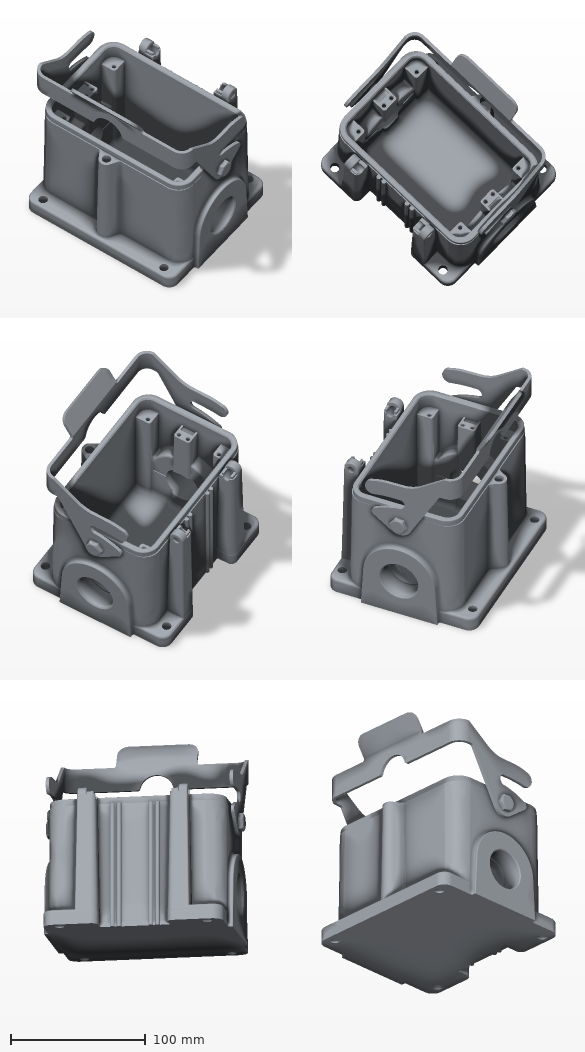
import cadquery as cq
import math

overlap = 1.0

flange_x = 135.2
flange_y = 120.0
flange_height = 11.6
flange_corner_r = 8.0
flange_edge_r = 2.0
rear_gap_x = 52.6
rear_corner_r = 5.0
screw_hole_d = 7.0
screw_pitch_x = 111.2
screw_pitch_y = 106.2

hull_top_x = 133.0
hull_top_y = 90.4
hull_top_z = 94.0
hull_corner_r = 13.6
hull_base_x = 134.5
hull_base_y = 92.0
hull_base_corner_r = 13.0
hull_blend_r = 1.2
rim_x = 132.7
rim_y = 88.9
rim_top_z = 99.1
rim_edge_r = 0.8

opening_x = 122.4
opening_y = 80.0
opening_corner_r = 8.4
draft_start_z = 93.5
lip_chamfer = 1.0
post_top_z = 86.8
floor_z = 6.0
well_x = 98.1
well_draft = 1.2
floor_r = 4.0
recess_depth = 2.0
middle_post_y = 13.6
corner_post_y = 27.4
post_corner_r = 1.9
insert_hole_d = 3.0
insert_chamfer = 0.5
insert_hole_depth = 12.0
insert_hole_x = 52.2
insert_hole_ys = (31.1, 3.95)
bolt_pocket_x = 5.0
bolt_pocket_y = 10.8
bolt_pocket_depth = 2.0

entry_x = 71.1
entry_z = 31.8
entry_r = 29.3
entry_arc_z = 32.6
entry_foot_half_y = 31.2
entry_blend_r = 2.0
entry_edge_r = 0.6
entry_bore_d = 30.5
entry_bore_depth = 15.5
entry_through_d = 28.0
entry_chamfer = 0.8
inner_boss_r = 27.8
inner_boss_blend_r = 1.5
inner_boss_edge_r = 1.5

nose_r = 6.0
nose_y = -49.3
nose_foot_y = -44.8
nose_foot_r = 4.0
nose_side_angle = math.radians(60)
nose_draft = 1.0
nose_hole_depth = 20.0

column_inner_x = rear_gap_x / 2
column_outer_x = 43.2
column_draft = 1.0
column_edge_r = 1.1
column_front_y = 44.9
column_rear_y = flange_y / 2
hinge_y = (column_rear_y + column_front_y) / 2
hinge_z = 98.9
hinge_top_z = 105.15
hinge_hole_d = 5.8
hinge_eye_inner_x = 34.6
cradle_inner_x = 29.1
cradle_top_z = 101.2
cradle_half_y = 4.9
cradle_corner_r = 1.5

rib_r = 1.7
rib_y = 46.2
rib_xs = (12.0, 17.0)

lever_half_x = 70.5
lever_thickness = 2.5
lever_front_y = -47.35
lever_corner_r = 10.4
lever_bottom_z = 124.9
lever_top_z = 143.0
pivot_z = 86.7
pivot_end_r = 10.0
notch_r = 13.0
notch_z = 123.2
notch_edge_r = 2.0
tab_half_x = 30.4
tab_root_r = 1.9
tab_bend_z = 144.9
tab_angle = math.radians(32)
tab_corner_r = 8.0
overall_z = 161.07

bolt_head_x = 74.35
bolt_head_flats = 12.0
bolt_head_turn = 6.6
bolt_head_chamfer = 0.8
shank_d = 8.1


def rounded_block(size_x, size_y, corner_r, z_low, z_high):
    block = cq.Workplane("XY").box(size_x, size_y, z_high - z_low, centered=(True, True, False))
    return block.edges("|Z").fillet(corner_r).translate((0, 0, z_low))


def mirrored_x(body):
    return body.union(body.mirror("YZ"))


def mirrored_xy(body):
    both = body.union(body.mirror("YZ"))
    return both.union(both.mirror("XZ"))


def rounded_sketch(size_x, size_y, corner_r):
    return cq.Sketch().rect(size_x, size_y).vertices().fillet(corner_r)


def x_cylinder(diameter, x_low, x_high, y, z):
    return cq.Workplane("YZ", origin=(x_low, y, z)).circle(diameter / 2).extrude(x_high - x_low)


def make_hull():
    base = rounded_sketch(hull_base_x, hull_base_y, hull_base_corner_r)
    top = rounded_sketch(hull_top_x, hull_top_y, hull_corner_r)
    top = top.moved(cq.Location(cq.Vector(0, 0, hull_top_z)))
    body = cq.Workplane("XY").placeSketch(base, top).loft(ruled=True)
    rim = rounded_block(rim_x, rim_y, hull_corner_r, hull_top_z, rim_top_z)
    return body.union(rim.faces(">Z").edges().fillet(rim_edge_r))


def make_entry_boss():
    """Arched pad on the +X wall, with sides that widen towards the base."""
    start_x = hull_top_x / 2 - 2 * overlap
    pad = (
        cq.Workplane("YZ", origin=(start_x, 0, 0))
        .moveTo(-entry_foot_half_y, 0)
        .lineTo(-entry_r, entry_arc_z)
        .threePointArc((0, entry_arc_z + entry_r), (entry_r, entry_arc_z))
        .lineTo(entry_foot_half_y, 0)
        .close()
        .extrude(entry_x - start_x)
    )
    return pad.faces(">X").edges("not(<Z)").fillet(entry_edge_r)


def blend_entry_bosses(body):
    reach_y = entry_foot_half_y + overlap
    top_z = entry_arc_z + entry_r + overlap
    inner_x = hull_top_x / 2 - overlap
    outer_x = hull_base_x / 2 + overlap
    for side in (-1, 1):
        joint = cq.selectors.BoxSelector(
            (side * inner_x, -reach_y, overlap), (side * outer_x, reach_y, top_z)
        )
        body = body.edges(joint).fillet(entry_blend_r)
    return body


def make_flange():
    plate = rounded_block(flange_x, flange_y, flange_corner_r, 0, flange_height)
    gap = cq.Workplane("XY").box(rear_gap_x, flange_y - hull_top_y, 3 * flange_height)
    plate = plate.cut(gap.translate((0, flange_y / 2, 0)))
    gap_corners = cq.selectors.BoxSelector((-column_outer_x, 0, 0), (column_outer_x, flange_y, flange_height))
    plate = plate.edges("|Z and >Y").edges(gap_corners).fillet(rear_corner_r)
    return plate.faces(">Z").edges().fillet(flange_edge_r)


def blend_hull_to_flange(body):
    """Fillet the joints of the shell and the front guide column with the top of the flange."""
    reach_x = flange_x / 2 - flange_edge_r - overlap
    reach_y = flange_y / 2 - flange_edge_r - overlap / 2
    near_y = hull_top_y / 2 - overlap / 2
    far_y = hull_base_y / 2 + overlap
    low = flange_height - overlap / 2
    high = flange_height + overlap / 2
    corner_y = hull_corner_r / 2 - hull_top_y / 2
    front = cq.selectors.BoxSelector((-reach_x, -reach_y, low), (reach_x, corner_y, high))
    rear = cq.selectors.BoxSelector((-reach_x, near_y, low), (reach_x, far_y, high))
    return body.edges(front).fillet(hull_blend_r).edges(rear).fillet(hull_blend_r)


def make_nose_column():
    """Rounded guide column in the middle of the front wall."""
    sin_side = math.sin(nose_side_angle)
    cos_side = math.cos(nose_side_angle)
    tip_x = nose_r * sin_side
    tip_y = nose_y - nose_r * cos_side
    foot_y = nose_foot_y - nose_foot_r * (1 - cos_side)
    foot_x = tip_x + (foot_y - tip_y) * cos_side / sin_side
    root_x = foot_x + nose_foot_r * sin_side
    root_y = nose_foot_y + 1.5 * overlap
    half_angle = nose_side_angle / 2
    mid_x = root_x - nose_foot_r * math.sin(half_angle)
    mid_y = nose_foot_y - nose_foot_r * (1 - math.cos(half_angle))
    column = (
        cq.Workplane("XY", origin=(0, 0, hull_top_z))
        .moveTo(-root_x, root_y)
        .lineTo(-root_x, nose_foot_y)
        .threePointArc((-mid_x, mid_y), (-foot_x, foot_y))
        .lineTo(-tip_x, tip_y)
        .threePointArc((0, nose_y - nose_r), (tip_x, tip_y))
        .lineTo(foot_x, foot_y)
        .threePointArc((mid_x, mid_y), (root_x, nose_foot_y))
        .lineTo(root_x, root_y)
        .close()
        .extrude(-(hull_top_z - flange_height / 2), taper=-nose_draft)
    )
    hole = (
        cq.Workplane("XY", origin=(0, nose_y, hull_top_z))
        .circle(screw_hole_d / 2)
        .extrude(-nose_hole_depth)
    )
    return column.cut(hole)


def make_hinge_column():
    """Rear column on the +X side carrying a hinge eye and an open cradle."""
    size_x = column_outer_x - column_inner_x
    size_y = column_rear_y - column_front_y
    centre_x = (column_outer_x + column_inner_x) / 2
    column = (
        cq.Workplane("XY", origin=(centre_x, hinge_y, 0))
        .sketch()
        .rect(size_x, size_y)
        .vertices("<X and >Y")
        .fillet(rear_corner_r)
        .finalize()
        .extrude(hinge_z, taper=column_draft)
    )
    inset = hinge_z * math.tan(math.radians(column_draft))
    eye_half_y = size_y / 2 - inset
    eye_outer_x = column_outer_x - inset
    eye = (
        cq.Workplane("YZ", origin=(hinge_eye_inner_x, hinge_y, 0))
        .moveTo(-eye_half_y, hinge_z)
        .threePointArc((0, hinge_top_z), (eye_half_y, hinge_z))
        .close()
        .extrude(eye_outer_x - hinge_eye_inner_x)
    )
    eye = eye.faces("<X").edges("%CIRCLE").fillet(column_edge_r)
    column = column.union(eye)
    margin = overlap / 10
    outer_edges = cq.selectors.BoxSelector(
        (eye_outer_x - margin, column_front_y, overlap),
        (column_outer_x + margin, column_rear_y, hinge_top_z),
    )
    column = column.edges(outer_edges).edges("not(<Z or |Y)").fillet(column_edge_r)
    cradle_x = hinge_eye_inner_x - cradle_inner_x
    rise = cradle_top_z - hinge_z
    cradle = cq.Workplane("XY").box(cradle_x, 2 * cradle_half_y, rise, centered=(False, True, False))
    cradle = cradle.edges("|Z and <X").fillet(cradle_corner_r).translate((cradle_inner_x, hinge_y, hinge_z))
    trough = cq.Workplane("XY").box(cradle_x, hinge_hole_d, rise, centered=(False, True, False))
    trough = trough.translate((cradle_inner_x, hinge_y, hinge_z))
    bore = x_cylinder(hinge_hole_d, column_inner_x, column_outer_x, hinge_y, hinge_z)
    web_y = hull_top_y / 2 - 2 * overlap
    web = cq.Workplane("XY").box(cradle_x, hinge_y - web_y, hull_top_z, centered=False)
    web = web.translate((cradle_inner_x, web_y, 0))
    return column.union(cradle.cut(trough)).cut(bore).union(web)


def make_rear_ribs():
    places = [(side * x, rib_y) for side in (-1, 1) for x in rib_xs]
    return cq.Workplane("XY").pushPoints(places).circle(rib_r).extrude(hull_top_z)


def make_well():
    """Space between the posts, wider where the cable bosses sit back."""
    post_x = well_x / 2
    recess_x = post_x + recess_depth
    low_y = middle_post_y / 2
    high_y = corner_post_y
    arc_r = post_corner_r
    outline = cq.Workplane("XY", origin=(0, 0, draft_start_z)).moveTo(-post_x, -opening_y / 2)
    for side in (1, -1):
        outline = (
            outline
            .lineTo(side * post_x, -side * opening_y / 2)
            .lineTo(side * post_x, -side * (high_y + arc_r))
            .radiusArc((side * (post_x + arc_r), -side * high_y), arc_r)
            .lineTo(side * recess_x, -side * high_y)
            .lineTo(side * recess_x, -side * low_y)
            .lineTo(side * (post_x + arc_r), -side * low_y)
            .radiusArc((side * post_x, -side * (low_y - arc_r)), arc_r)
            .lineTo(side * post_x, side * (low_y - arc_r))
            .radiusArc((side * (post_x + arc_r), side * low_y), arc_r)
            .lineTo(side * recess_x, side * low_y)
            .lineTo(side * recess_x, side * high_y)
            .lineTo(side * (post_x + arc_r), side * high_y)
            .radiusArc((side * post_x, side * (high_y + arc_r)), arc_r)
            .lineTo(side * post_x, side * opening_y / 2)
        )
    well = outline.close().extrude(-(draft_start_z - floor_z), taper=well_draft)
    return well.faces("<Z").edges().fillet(floor_r)


def make_boss_pocket():
    """Pocket between a corner post and the middle post, floored by the arched cable boss."""
    low_x = well_x / 2 - 3 * overlap
    high_x = opening_x / 2
    size_y = corner_post_y - middle_post_y / 2
    centre_x = (low_x + high_x) / 2
    centre_y = corner_post_y - size_y / 2
    pocket = (
        cq.Workplane("XY", origin=(centre_x, centre_y, draft_start_z))
        .rect(high_x - low_x, size_y)
        .extrude(-(draft_start_z - entry_z), taper=well_draft)
    )
    crown_z = entry_z + inner_boss_r
    face_x = well_x / 2 + recess_depth - (draft_start_z - crown_z) * math.tan(math.radians(well_draft))
    boss = x_cylinder(2 * inner_boss_r, face_x, high_x + overlap, 0, entry_z)
    boss = boss.faces("<X").edges().fillet(inner_boss_edge_r)
    pocket = pocket.cut(boss)
    return pocket.faces("%CYLINDER").edges("|X or >X").fillet(inner_boss_blend_r)


def make_cavity():
    cavity = rounded_block(opening_x, opening_y, opening_corner_r, draft_start_z, rim_top_z)
    lip_x = opening_x + 2 * lip_chamfer
    lip_y = opening_y + 2 * lip_chamfer
    lip = (
        cq.Workplane("XY", origin=(0, 0, rim_top_z))
        .placeSketch(rounded_sketch(lip_x, lip_y, opening_corner_r + lip_chamfer))
        .extrude(-lip_chamfer, taper=45)
    )
    cavity = cavity.union(lip)
    upper = (
        cq.Workplane("XY", origin=(0, 0, draft_start_z))
        .placeSketch(rounded_sketch(opening_x, opening_y, opening_corner_r))
        .extrude(-(draft_start_z - post_top_z), taper=well_draft)
    )
    cavity = cavity.union(upper)
    cavity = cavity.union(make_well()).union(mirrored_xy(make_boss_pocket()))
    places = [(sx * insert_hole_x, sy * y) for sx in (-1, 1) for sy in (-1, 1) for y in insert_hole_ys]
    holes = (
        cq.Workplane("XY", origin=(0, 0, post_top_z))
        .pushPoints(places).circle(insert_hole_d / 2).extrude(-insert_hole_depth)
    )
    mouths = (
        cq.Workplane("XY", origin=(0, 0, post_top_z))
        .pushPoints(places).circle(insert_hole_d / 2 + insert_chamfer).extrude(-insert_chamfer, taper=45)
    )
    bolt_pocket = cq.Workplane("XY").box(
        bolt_pocket_x, bolt_pocket_y, bolt_pocket_depth, centered=(True, True, False)
    )
    bolt_pocket = bolt_pocket.translate(
        ((opening_x - bolt_pocket_x) / 2, 0, post_top_z - bolt_pocket_depth)
    )
    return cavity.union(holes).union(mouths).union(mirrored_x(bolt_pocket))


def make_entry_hole():
    bore = x_cylinder(entry_bore_d, entry_x - entry_bore_depth, entry_x, 0, entry_z)
    through = x_cylinder(entry_through_d, well_x / 2 - 5 * overlap, entry_x, 0, entry_z)
    mouth_r = entry_bore_d / 2 + entry_chamfer
    mouth = (
        cq.Workplane("YZ", origin=(entry_x, 0, entry_z))
        .circle(mouth_r)
        .extrude(-entry_chamfer, taper=45)
    )
    return bore.union(through).union(mouth)


def around_pivot(angle):
    """Point on the round end of a lever arm, as (y, z)."""
    return (pivot_end_r * math.cos(angle), pivot_z + pivot_end_r * math.sin(angle))


def make_lever_arm():
    """Flat hook-shaped arm on the +X side, drawn in the YZ plane."""
    corner_y = lever_front_y + lever_corner_r
    slope_end, slope_blend, shoulder = (-17.5, 129.2), (-11.4, 125.8), (-4.3, 124.1)
    finger_start, finger_bow, finger_top = (11.6, 123.7), (17.0, 123.0), (22.1, 121.7)
    finger_tip, finger_bottom = (27.9, 114.7), (22.1, 109.1)
    slot_roof, slot_top, slot_end, slot_bottom = (12.7, 110.4), (-1.7, 110.7), (-4.4, 106.7), (-1.7, 102.4)
    jaw_bow, jaw_top, jaw_tip, jaw_bottom = (10.0, 99.9), (21.0, 95.2), (22.4, 92.2), (20.8, 89.4)
    rear_normal, front_normal = math.radians(-52.3), math.radians(-151)
    end_rear = around_pivot(rear_normal)
    end_bottom = around_pivot((rear_normal + front_normal) / 2)
    end_front = around_pivot(front_normal)
    throat_start, throat, throat_end = (-32.0, 123.5), (-32.7, 124.5), (-33.8, lever_bottom_z)
    return (
        cq.Workplane("YZ", origin=(lever_half_x - lever_thickness, 0, 0))
        .moveTo(corner_y, lever_top_z)
        .lineTo(*slope_end)
        .threePointArc(slope_blend, shoulder)
        .lineTo(*finger_start)
        .threePointArc(finger_bow, finger_top)
        .threePointArc(finger_tip, finger_bottom)
        .threePointArc(slot_roof, slot_top)
        .threePointArc(slot_end, slot_bottom)
        .threePointArc(jaw_bow, jaw_top)
        .threePointArc(jaw_tip, jaw_bottom)
        .lineTo(*end_rear)
        .threePointArc(end_bottom, end_front)
        .lineTo(*throat_start)
        .threePointArc(throat, throat_end)
        .lineTo(corner_y, lever_bottom_z)
        .close()
        .extrude(lever_thickness)
    )


def make_lever_front():
    """Bent front strip with a thumb notch below and the stub of the grip tab above."""
    depth_y = 4 * lever_corner_r
    size_x = 2 * lever_half_x
    wall = lever_thickness
    outer = rounded_block(size_x, depth_y, lever_corner_r, lever_bottom_z, lever_top_z)
    inner = rounded_block(
        size_x - 2 * wall, depth_y - 2 * wall, lever_corner_r - wall, lever_bottom_z, lever_top_z
    )
    strip = outer.cut(inner).translate((0, lever_front_y + depth_y / 2, 0))
    clip = cq.Workplane("XY").box(size_x, lever_corner_r, 2 * overall_z)
    strip = strip.intersect(clip.translate((0, lever_front_y + lever_corner_r / 2, 0)))
    notch = cq.Workplane("XZ", origin=(0, lever_front_y + wall, notch_z)).circle(notch_r).extrude(wall)
    strip = strip.cut(notch)
    notch_ends = cq.selectors.BoxSelector(
        (-notch_r, lever_front_y, lever_bottom_z - overlap), (notch_r, 0, lever_bottom_z + overlap)
    )
    strip = strip.edges("|Y").edges(notch_ends).fillet(notch_edge_r)
    root_x = tab_half_x + tab_root_r
    diagonal = tab_root_r * math.sqrt(0.5)
    stub = (
        cq.Workplane("XZ", origin=(0, lever_front_y + wall, 0))
        .moveTo(-root_x, lever_top_z)
        .threePointArc((diagonal - root_x, lever_top_z + tab_root_r - diagonal), (-tab_half_x, tab_bend_z))
        .lineTo(tab_half_x, tab_bend_z)
        .threePointArc((root_x - diagonal, lever_top_z + tab_root_r - diagonal), (root_x, lever_top_z))
        .close()
        .extrude(wall)
    )
    return strip.union(stub)


def make_lever_tab():
    """Grip tab leaning forward from the bend above the strip."""
    wall = lever_thickness
    inner_y = lever_front_y + wall
    inner_bend_z = tab_bend_z + wall * math.tan(tab_angle / 2)
    lean_y = (overall_z - inner_bend_z) * math.tan(tab_angle)
    tip_y = inner_y - lean_y
    normal = (0, -math.cos(tab_angle), -math.sin(tab_angle))
    tab = (
        cq.Workplane("YZ", origin=(-tab_half_x, 0, 0))
        .moveTo(lever_front_y, tab_bend_z)
        .lineTo(inner_y, tab_bend_z)
        .lineTo(inner_y, inner_bend_z)
        .lineTo(tip_y, overall_z)
        .lineTo(tip_y + wall * normal[1], overall_z + wall * normal[2])
        .close()
        .extrude(2 * tab_half_x)
    )
    return tab.edges(cq.selectors.ParallelDirSelector(cq.Vector(*normal))).fillet(tab_corner_r)


def make_bolt():
    arm_x = lever_half_x
    head = (
        cq.Workplane("YZ", origin=(arm_x, 0, 0))
        .polygon(6, bolt_head_flats / math.cos(math.pi / 6))
        .extrude(bolt_head_x - arm_x)
        .rotate((0, 0, 0), (1, 0, 0), bolt_head_turn)
        .translate((0, 0, pivot_z))
    )
    crown = (
        cq.Workplane("YZ", origin=(arm_x, 0, pivot_z))
        .circle(bolt_head_flats / math.sqrt(3))
        .extrude(bolt_head_x - arm_x)
        .faces(">X").edges().chamfer(bolt_head_chamfer, 2 * bolt_head_chamfer)
    )
    shank = x_cylinder(shank_d, hull_top_x / 2 - 2 * overlap, arm_x, 0, pivot_z)
    return head.intersect(crown).union(shank)


housing = make_hull().union(mirrored_x(make_entry_boss()))
housing = blend_entry_bosses(housing)
housing = housing.union(make_flange())
housing = housing.union(make_nose_column())
housing = blend_hull_to_flange(housing)
housing = housing.union(mirrored_x(make_hinge_column()))
housing = housing.union(make_rear_ribs())
housing = housing.cut(make_cavity())
housing = housing.cut(mirrored_x(make_entry_hole()))
flange_holes = (
    cq.Workplane("XY").rect(screw_pitch_x, screw_pitch_y, forConstruction=True)
    .vertices().circle(screw_hole_d / 2).extrude(flange_height)
)
housing = housing.cut(flange_holes)

lever = make_lever_front().union(make_lever_tab()).union(mirrored_x(make_lever_arm()))
lever = lever.union(mirrored_x(make_bolt()))

result = housing.union(lever)